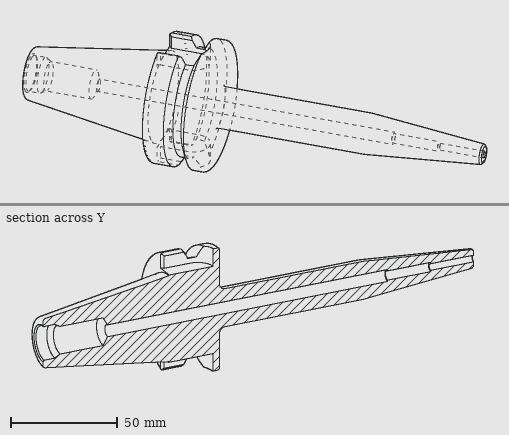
import cadquery as cq
import math


overall_length = 225.5

taper_end_radius = 12.6
taper_slope = 7 / 24 / 2
taper_end_fillet = 1.8

flange_start = 66.0
flange_end = 92.6
flange_radius = 31.5
flange_rim_fillet = 1.4
groove_center = 81.8
groove_floor_width = 4.0
groove_radius = 26.4
groove_wall_angle = 30.0

slot_width = 15.8
slot_floor_height = 22.5
slot_end = 89.0
slot_chamfer = 1.4

shank_radius = 10.0
shank_fillet = 2.7
nose_start = 167.7
nose_tip_radius = 5.0
nose_tip_chamfer = 1.0

mouth_radius = 8.5
mouth_chamfer = 0.7
mouth_depth = 6.3
thread_radius = 7.0
thread_depth = 31.5
thread_entry_angle = 30.0
drill_point_angle = 60.0
coolant_radius = 3.0
relief_radius = 2.3
relief_length = 22.5
tool_radius = 1.5
tool_bore_length = 22.5


def make_body():
    """Revolve the outer profile about the X axis."""
    taper_root_radius = taper_end_radius + taper_slope * flange_start
    groove_wall_run = (flange_radius - groove_radius) * math.tan(math.radians(groove_wall_angle))
    floor_half = groove_floor_width / 2
    top_half = floor_half + groove_wall_run
    profile = (
        cq.Workplane("XY")
        .moveTo(0, 0)
        .lineTo(0, taper_end_radius)
        .lineTo(flange_start, taper_root_radius)
        .lineTo(flange_start, flange_radius - flange_rim_fillet)
        .radiusArc((flange_start + flange_rim_fillet, flange_radius), flange_rim_fillet)
        .lineTo(groove_center - top_half, flange_radius)
        .lineTo(groove_center - floor_half, groove_radius)
        .lineTo(groove_center + floor_half, groove_radius)
        .lineTo(groove_center + top_half, flange_radius)
        .lineTo(flange_end - flange_rim_fillet, flange_radius)
        .radiusArc((flange_end, flange_radius - flange_rim_fillet), flange_rim_fillet)
        .lineTo(flange_end, shank_radius + shank_fillet)
        .radiusArc((flange_end + shank_fillet, shank_radius), -shank_fillet)
        .lineTo(nose_start, shank_radius)
        .lineTo(overall_length - nose_tip_chamfer, nose_tip_radius)
        .lineTo(overall_length, nose_tip_radius - nose_tip_chamfer)
        .lineTo(overall_length, 0)
        .close()
    )
    body = profile.revolve(360, (0, 0, 0), (1, 0, 0))
    return body.faces("<X").edges().fillet(taper_end_fillet)


def make_bore():
    """Stepped bore: wide mouth, thread core, coolant hole, relief and tool bore."""
    thread_entry = (mouth_radius - thread_radius) / math.tan(math.radians(thread_entry_angle))
    drill_point = (thread_radius - coolant_radius) / math.tan(math.radians(drill_point_angle))
    tool_bore_start = overall_length - tool_bore_length
    relief_start = tool_bore_start - relief_length
    profile = (
        cq.Workplane("XY")
        .moveTo(0, 0)
        .lineTo(0, mouth_radius + mouth_chamfer)
        .lineTo(mouth_chamfer, mouth_radius)
        .lineTo(mouth_depth, mouth_radius)
        .lineTo(mouth_depth + thread_entry, thread_radius)
        .lineTo(thread_depth, thread_radius)
        .lineTo(thread_depth + drill_point, coolant_radius)
        .lineTo(relief_start, coolant_radius)
        .lineTo(relief_start, relief_radius)
        .lineTo(tool_bore_start, relief_radius)
        .lineTo(tool_bore_start, tool_radius)
        .lineTo(overall_length, tool_radius)
        .lineTo(overall_length, 0)
        .close()
    )
    return profile.revolve(360, (0, 0, 0), (1, 0, 0))


def make_slot():
    """Round-ended drive slot on the +Z side, with bevelled mouth and rim edges."""
    half_width = slot_width / 2
    arc_center = slot_end - half_width
    height = flange_radius - slot_floor_height
    channel = (
        cq.Workplane("XY", origin=(0, 0, slot_floor_height))
        .moveTo(flange_start, -half_width)
        .lineTo(arc_center, -half_width)
        .threePointArc((slot_end, 0), (arc_center, half_width))
        .lineTo(flange_start, half_width)
        .close()
        .extrude(height)
    )
    mouth_bevel = (
        cq.Workplane("XY", origin=(0, 0, slot_floor_height))
        .moveTo(flange_start, -half_width - slot_chamfer)
        .lineTo(flange_start + slot_chamfer, -half_width)
        .lineTo(flange_start + slot_chamfer, half_width)
        .lineTo(flange_start, half_width + slot_chamfer)
        .close()
        .extrude(height)
    )
    rim_height = math.sqrt(flange_radius**2 - (half_width + slot_chamfer) ** 2)
    rim_bevel = (
        cq.Workplane("YZ", origin=(flange_start, 0, 0))
        .moveTo(-half_width, rim_height - slot_chamfer)
        .lineTo(-half_width - slot_chamfer, rim_height)
        .lineTo(-half_width - slot_chamfer, flange_radius)
        .lineTo(half_width + slot_chamfer, flange_radius)
        .lineTo(half_width + slot_chamfer, rim_height)
        .lineTo(half_width, rim_height - slot_chamfer)
        .close()
        .extrude(groove_center - flange_start)
    )
    return channel.union(mouth_bevel).union(rim_bevel)


slot = make_slot()
opposite_slot = slot.rotate((0, 0, 0), (1, 0, 0), 180)
result = make_body().cut(make_bore()).cut(slot).cut(opposite_slot)